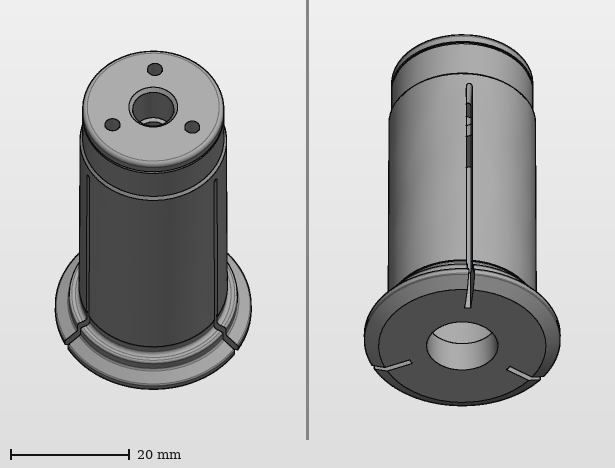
import cadquery as cq
import math

total_height = 60.5
collar_top = 6.0
body_bottom = 8.2
body_top = 50.75
snap_groove_top = 58.5

flange_radius = 16.5
collar_radius = 14.15
neck_radius = 12.35
body_bottom_radius = 12.5
body_top_radius = 12.35
head_radius = 11.9

cone_angle = math.radians(60)
lower_cone_height = 1.4
rim_height = 1.2
rim_lower_round = 0.2
rim_upper_round = 0.4
flange_root_round = 0.5

collar_round = 0.4
neck_root_round = 0.7
collar_dish = 0.15
head_round = 0.8
edge_tolerance = 0.05
body_lead_height = 0.55
neck_ledge = 0.1
neck_slope_height = 0.4
snap_groove_depth = 0.25
snap_groove_height = 0.5

bore_radius = 12.0 / 2
cavity_radius = 20.4 / 2
cavity_top = 50.0
through_radius = 5.2 / 2
thread_radius = 6.92 / 2
thread_depth = 8.0
countersink_radius = 8.2 / 2

spoke_count = 3
slot_width = 1.0
slot_top = 48.6
slot_inner_radius = 9.5
slot_roof_angle = 50
coolant_radius = 2.5 / 2
coolant_circle_radius = 7.75


def make_outer_body():
    bottom_radius = flange_radius - lower_cone_height * math.tan(cone_angle)
    rim_top = lower_cone_height + rim_height
    flange_top = rim_top + (flange_radius - collar_radius) / math.tan(cone_angle)
    neck_root = collar_top - collar_dish
    undercut_radius = neck_radius - neck_ledge
    groove_radius = head_radius - snap_groove_depth
    outline = (
        cq.Workplane("XZ")
        .moveTo(0, 0)
        .lineTo(bottom_radius, 0)
        .lineTo(flange_radius, lower_cone_height)
        .lineTo(flange_radius, rim_top)
        .lineTo(collar_radius, flange_top)
        .lineTo(collar_radius, collar_top)
        .lineTo(neck_radius, neck_root)
        .lineTo(neck_radius, body_bottom - neck_slope_height)
        .lineTo(undercut_radius, body_bottom)
        .lineTo(body_bottom_radius, body_bottom)
        .lineTo(body_top_radius, body_top)
        .lineTo(head_radius, body_top + body_lead_height)
        .lineTo(head_radius, snap_groove_top - snap_groove_height)
        .lineTo(groove_radius, snap_groove_top)
        .lineTo(head_radius, snap_groove_top)
        .lineTo(head_radius, total_height)
        .lineTo(0, total_height)
        .close()
    )
    body = outline.revolve(360, (0, 0, 0), (0, 1, 0))
    rounded_edges = [
        (flange_radius, lower_cone_height, rim_lower_round),
        (flange_radius, rim_top, rim_upper_round),
        (collar_radius, flange_top, flange_root_round),
        (collar_radius, collar_top, collar_round),
        (neck_radius, neck_root, neck_root_round),
        (head_radius, total_height, head_round),
    ]
    for radius, height, round_radius in rounded_edges:
        body = round_circle(body, radius, height, round_radius)
    return body


def edges_within(reach, height):
    """Selector for edges at the given height that lie wholly within the given reach of the axis."""
    low = (-reach, -reach, height - edge_tolerance)
    high = (reach, reach, height + edge_tolerance)
    return cq.selectors.BoxSelector(low, high, boundingbox=True)


def round_circle(body, radius, height, round_radius):
    """Fillet the circular edge of the given radius at the given height."""
    outside = edges_within(radius + edge_tolerance, height)
    inside = edges_within(radius - edge_tolerance, height)
    return body.edges(outside - inside).fillet(round_radius)


def make_hollow():
    countersink_depth = countersink_radius - thread_radius
    cavity_bottom = collar_top + (cavity_radius - bore_radius) / math.tan(cone_angle)
    outline = (
        cq.Workplane("XZ")
        .moveTo(0, 0)
        .lineTo(bore_radius, 0)
        .lineTo(bore_radius, collar_top)
        .lineTo(cavity_radius, cavity_bottom)
        .lineTo(cavity_radius, cavity_top)
        .lineTo(through_radius, cavity_top)
        .lineTo(through_radius, total_height - thread_depth)
        .lineTo(thread_radius, total_height - thread_depth)
        .lineTo(thread_radius, total_height - countersink_depth)
        .lineTo(countersink_radius, total_height)
        .lineTo(0, total_height)
        .close()
    )
    return outline.revolve(360, (0, 0, 0), (0, 1, 0))


def make_slot():
    """Radial slot along +X, open at the bottom, with a rounded roof sloping inward."""
    half_width = slot_width / 2
    slope = math.radians(slot_roof_angle)
    center_at_surface = slot_top - half_width / math.cos(slope)
    outer = flange_radius + slot_width
    rise = (outer - body_top_radius) * math.tan(slope)
    drop = (body_top_radius - slot_inner_radius) * math.tan(slope)
    walls = (
        cq.Workplane("XZ")
        .moveTo(slot_inner_radius, 0)
        .lineTo(outer, 0)
        .lineTo(outer, center_at_surface + rise)
        .lineTo(slot_inner_radius, center_at_surface - drop)
        .close()
        .extrude(half_width, both=True)
    )
    roof = cq.Workplane(
        cq.Solid.makeCylinder(
            half_width,
            (outer - slot_inner_radius) / math.cos(slope),
            cq.Vector(slot_inner_radius, 0, center_at_surface - drop),
            cq.Vector(math.cos(slope), 0, math.sin(slope)),
        )
    )
    return walls.union(roof)


def make_coolant_hole():
    """Straight hole from the top face down into the cavity."""
    return (
        cq.Workplane("XY", origin=(coolant_circle_radius, 0, cavity_top))
        .circle(coolant_radius)
        .extrude(total_height - cavity_top)
    )


def around_axis(cutter, index):
    return cutter.rotate((0, 0, 0), (0, 0, 1), index * 360 / spoke_count)


result = make_outer_body().cut(make_hollow())
for spoke in range(spoke_count):
    result = result.cut(around_axis(make_slot(), spoke))
    result = result.cut(around_axis(make_coolant_hole(), spoke))